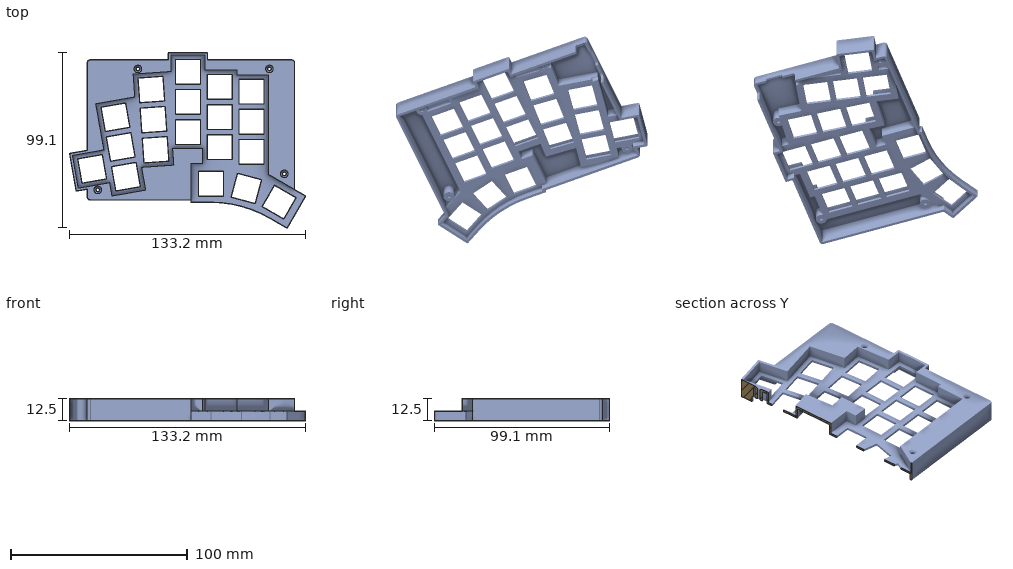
import cadquery as cq
import math

BODY_LENGTH = 117.1
BODY_DEPTH = 79.2
BODY_HEIGHT = 12.5
BODY_CORNER_RADIUS = 1.7
WALL = 1.5
ROOF_THICKNESS = 1.7
PLATE_BOTTOM = 4.0
PLATE_TOP = 5.5
RIM_CORNER_RADIUS = 0.5

WINDOW_WIDTH = 14.0
WINDOW_DEPTH = 13.8
CELL_WIDTH = 19.3
CELL_DEPTH = 18.8
ROW_PITCH = 17.0
COLUMN_PITCH = 18.0

TALL_X = 56.8
TALL_Y = 55.4
RIGHT_COLUMN_X = TALL_X + 2 * COLUMN_PITCH
COLUMNS = [
    (18.9, 30.0, 10, 3.5),
    (37.4, 45.4, 4, 2.1),
    (TALL_X, TALL_Y, 0, 0),
    (TALL_X + COLUMN_PITCH, 46.9, 0, 0),
    (RIGHT_COLUMN_X, 44.2, 0, 0),
]
OUTER_KEY = (2.8, 17.6, 10)
TOP_KEY = (TALL_X, TALL_Y + ROW_PITCH, 0)
THUMB_KEYS = [(69.9, 9.2, 0), (89.8, 6.5, -15), (108.4, -1.2, -30)]

THUMB_HALF_WIDTH = 11.3
THUMB_HALF_DEPTH = 10.5
THUMB_TOP_Y = 20.6

SCREWS = [(6.0, 5.7), (28.6, 74.0), (102.9, 74.0), (111.3, 14.8)]
SCREW_HOLE_DIAMETER = 2.0
SCREW_HEAD_DIAMETER = 4.3
SCREW_CONE_ANGLE = 90
SCREW_BOSS_DIAMETER = 6.1

PORT_Y = 67.1
PORT_REACH = 6.7
RELIEF_WIDTH = 25.3
RELIEF_TOP = 6.5
RELIEF_RADIUS = 1.9
PORT_WIDTH = 9.6
PORT_TOP = 8.4
PORT_RADIUS = 1.0
PORT_BEVEL = 0.4
PORT_BEVEL_ANGLE = 45

OVERLAP = 1.3


def local_point(frame, along, across):
    """Point given in a tilted key's own axes."""
    x, y, tilt = frame
    c = math.cos(math.radians(tilt))
    s = math.sin(math.radians(tilt))
    return (x + along * c - across * s, y + along * s + across * c)


def block(frame, left, right, front, back, bottom, top):
    """Box whose sides are measured from the centre of a tilted key."""
    corners = [(left, front), (right, front), (right, back), (left, back)]
    points = [local_point(frame, along, across) for along, across in corners]
    return cq.Workplane("XY").workplane(offset=bottom).polyline(points).close().extrude(top - bottom)


def cell(frame, grow, bottom, top):
    """Rectangular land around one key."""
    half_width = CELL_WIDTH / 2 + grow
    half_depth = CELL_DEPTH / 2 + grow
    return block(frame, -half_width, half_width, -half_depth, half_depth, bottom, top)


def column_zone(column, grow, bottom, top):
    """Land around the three keys of a column, with the wedge beside its upper rows."""
    x, y, tilt, wedge = column
    frame = (x, y, tilt)
    half_width = CELL_WIDTH / 2 + grow
    half_depth = CELL_DEPTH / 2 + grow
    reach = ROW_PITCH + half_depth
    zone = block(frame, -half_width, half_width, -reach, reach, bottom, top)
    if wedge:
        zone = zone.union(block(frame, -half_width, half_width + wedge, -half_depth, reach, bottom, top))
    return zone


def thumb_zone(grow, bottom, top):
    """Fan around the thumb keys, reaching back under the two right-hand columns."""
    first, middle, last = THUMB_KEYS
    half_width = THUMB_HALF_WIDTH + grow
    half_depth = THUMB_HALF_DEPTH + grow
    left = first[0] - half_width
    back = THUMB_TOP_Y + grow
    right = RIGHT_COLUMN_X + CELL_WIDTH / 2 + grow
    end_back = local_point(last, half_width, half_depth)
    end_slope = math.tan(math.radians(last[2]))
    shoulder_y = end_back[1] + (right - end_back[0]) * end_slope
    return (
        cq.Workplane("XY")
        .workplane(offset=bottom)
        .moveTo(left, first[1] - half_depth)
        .lineTo(*local_point(first, 0, -half_depth))
        .tangentArcPoint(local_point(middle, 0, -half_depth), relative=False)
        .tangentArcPoint(local_point(last, 0, -half_depth), relative=False)
        .lineTo(*local_point(last, half_width, -half_depth))
        .lineTo(*end_back)
        .lineTo(right, shoulder_y)
        .lineTo(right, back)
        .lineTo(left, back)
        .close()
        .extrude(top - bottom)
    )


def key_zone(grow, bottom, top):
    """Whole sunken key area, enlarged on every side by grow."""
    zone = thumb_zone(grow, bottom, top).union(cell(OUTER_KEY, grow, bottom, top))
    for column in COLUMNS:
        zone = zone.union(column_zone(column, grow, bottom, top))
    return zone


def body_box(inset, bottom, top):
    """Rectangular body outline, drawn in by inset."""
    size_x = BODY_LENGTH - 2 * inset
    size_y = BODY_DEPTH - 2 * inset
    box = cq.Workplane("XY").box(size_x, size_y, top - bottom, centered=False)
    return box.translate((inset, inset, bottom))


def outer_shape():
    shape = body_box(0, 0, BODY_HEIGHT).edges("|Z").fillet(BODY_CORNER_RADIUS)
    for key in (OUTER_KEY, TOP_KEY):
        rim = cell(key, WALL, 0, BODY_HEIGHT).edges("|Z").fillet(RIM_CORNER_RADIUS)
        shape = shape.union(rim)
    thumb = thumb_zone(0, 0, PLATE_TOP)
    for corner in (">X", "<Y"):
        thumb = thumb.edges("|Z").edges(corner).fillet(RIM_CORNER_RADIUS)
    return shape.cut(thumb_zone(0, PLATE_TOP, BODY_HEIGHT)).union(thumb)


def lower_cavity():
    """Open space under the key plate."""
    cavity = body_box(WALL, 0, PLATE_BOTTOM).union(thumb_zone(-WALL, 0, PLATE_BOTTOM))
    for key in (OUTER_KEY, TOP_KEY):
        cavity = cavity.union(cell(key, 0, 0, PLATE_BOTTOM))
    return cavity


def upper_cavity():
    """Space under the roof, outside the walls of the key area and the screw bosses."""
    roof_bottom = BODY_HEIGHT - ROOF_THICKNESS
    cavity = body_box(WALL, PLATE_BOTTOM, roof_bottom).cut(key_zone(WALL, PLATE_BOTTOM, roof_bottom))
    bosses = (
        cq.Workplane("XY")
        .workplane(offset=PLATE_BOTTOM)
        .pushPoints(SCREWS)
        .circle(SCREW_BOSS_DIAMETER / 2)
        .extrude(roof_bottom - PLATE_BOTTOM)
    )
    return cavity.cut(bosses)


def window_cutters():
    half_width = WINDOW_WIDTH / 2
    half_depth = WINDOW_DEPTH / 2
    frames = [OUTER_KEY] + THUMB_KEYS
    for x, y, tilt, _ in COLUMNS:
        for row in (-1, 0, 1):
            frames.append((*local_point((x, y, tilt), 0, row * ROW_PITCH), tilt))
    cutters = cq.Workplane("XY")
    for frame in frames:
        window = block(frame, -half_width, half_width, -half_depth, half_depth, 0, PLATE_TOP + OVERLAP)
        cutters = cutters.add(window)
    return cutters.combine()


def port_cutter(width, top, radius, reach, taper=0):
    """Slot with rounded top corners entering the left wall, open at the underside."""
    height = top + OVERLAP
    outline = cq.Sketch().rect(width, height).vertices(">Y").fillet(radius)
    return (
        cq.Workplane("YZ")
        .center(PORT_Y, top - height / 2)
        .placeSketch(outline)
        .extrude(reach, taper=taper)
    )


result = outer_shape()
result = result.cut(lower_cavity())
result = result.cut(upper_cavity())
result = result.cut(key_zone(0, PLATE_TOP, BODY_HEIGHT + OVERLAP))
result = result.cut(window_cutters())
result = (
    result.faces(">Z")
    .workplane(origin=(0, 0, BODY_HEIGHT))
    .pushPoints(SCREWS)
    .cskHole(SCREW_HOLE_DIAMETER, SCREW_HEAD_DIAMETER, SCREW_CONE_ANGLE)
)
result = result.cut(port_cutter(RELIEF_WIDTH, RELIEF_TOP, RELIEF_RADIUS, PORT_REACH))
result = result.cut(port_cutter(PORT_WIDTH, PORT_TOP, PORT_RADIUS, PORT_REACH))
bevel_width = PORT_WIDTH + 2 * PORT_BEVEL
bevel_radius = PORT_RADIUS + PORT_BEVEL
result = result.cut(
    port_cutter(bevel_width, PORT_TOP + PORT_BEVEL, bevel_radius, PORT_BEVEL, PORT_BEVEL_ANGLE)
)